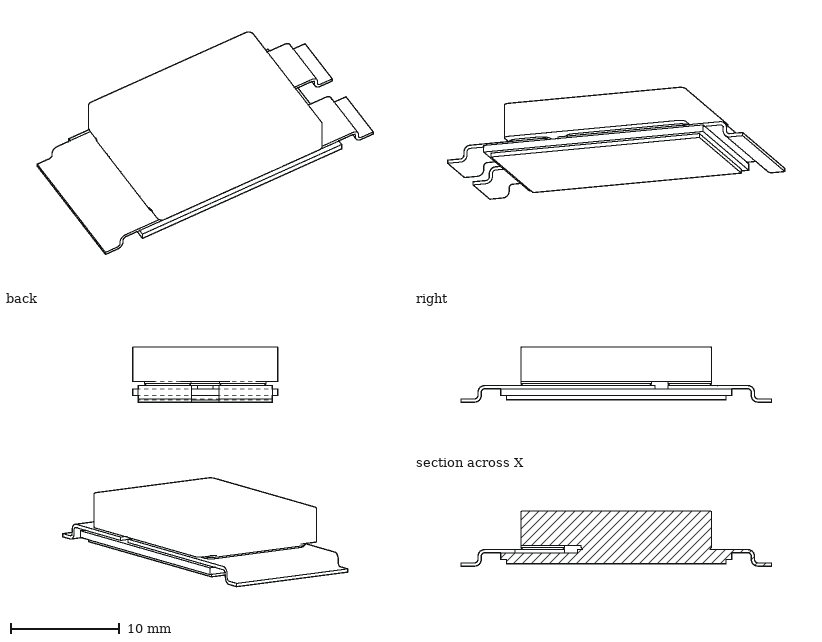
import cadquery as cq

LENGTH = 28.55
LEAD_WIDTH = 12.33
LEAD_THICK = 0.3
LEAD_TOP = 1.55
LEAD_BOTTOM = LEAD_TOP - LEAD_THICK
INNER_BEND = LEAD_THICK
OUTER_BEND = INNER_BEND + LEAD_THICK
FOOT_LENGTH = 1.25
SPLIT_LEAD_END = 4.75
WIDE_LEAD_END = 3.57
LEAD_GAP = 1.45
NOTCH_WIDTH = 2.48
NOTCH_END = 9.3

BODY_WIDTH = 13.33
BODY_LENGTH = 17.53
BODY_TOP = 5.08
BODY_CORNER = 0.55
BODY_TOP_EDGE = 0.1

PAD_THICK = 0.35
PAD_SPAN = 11.2
PAD_CORNER = 0.9
PAD_BEVEL = 0.17
WIDE_PAD_END = 3.25
BODY_BOTTOM = LEAD_TOP + PAD_THICK

SUBSTRATE_LENGTH = 21.25
SUBSTRATE_THICK = 0.63
CONTACT_INSET = 0.55
CONTACT_BOTTOM = 0.23
SUBSTRATE_BOTTOM = LEAD_BOTTOM - SUBSTRATE_THICK


def block(x_range, y_range, z_range):
    """Box between the given limits."""
    sizes = [high - low for low, high in (x_range, y_range, z_range)]
    corner = (x_range[0], y_range[0], z_range[0])
    return cq.Workplane("XY").box(*sizes, centered=False).translate(corner)


def centred_block(width, length, bottom, top):
    """Box centred on the Z axis."""
    return block((-width / 2, width / 2), (-length / 2, length / 2), (bottom, top))


def formed_lead(inner_end):
    """Full-width gull-wing lead that runs from inner_end out to the +Y tip."""
    tip = LENGTH / 2
    bend = tip - FOOT_LENGTH
    riser_outer = bend - INNER_BEND
    riser_inner = riser_outer - LEAD_THICK
    shoulder = riser_outer - OUTER_BEND
    profile = (
        cq.Workplane("YZ", origin=(-LEAD_WIDTH / 2, 0, 0))
        .moveTo(inner_end, LEAD_TOP)
        .lineTo(shoulder, LEAD_TOP)
        .radiusArc((riser_outer, LEAD_TOP - OUTER_BEND), OUTER_BEND)
        .lineTo(riser_outer, LEAD_THICK + INNER_BEND)
        .radiusArc((bend, LEAD_THICK), -INNER_BEND)
        .lineTo(tip, LEAD_THICK)
        .lineTo(tip, 0)
        .lineTo(bend, 0)
        .radiusArc((riser_inner, OUTER_BEND), OUTER_BEND)
        .lineTo(riser_inner, LEAD_BOTTOM - INNER_BEND)
        .radiusArc((shoulder, LEAD_BOTTOM), -INNER_BEND)
        .lineTo(inner_end, LEAD_BOTTOM)
        .close()
    )
    return profile.extrude(LEAD_WIDTH)


def split_leads():
    """The two leads at +Y, separated by a stepped gap."""
    height = (0, LEAD_TOP)
    gap = block((-LEAD_GAP / 2, LEAD_GAP / 2), (SPLIT_LEAD_END, LENGTH / 2), height)
    notch = block((-NOTCH_WIDTH / 2, NOTCH_WIDTH / 2), (NOTCH_END, LENGTH / 2), height)
    return formed_lead(SPLIT_LEAD_END).cut(gap).cut(notch)


def wide_lead():
    """The single lead at -Y."""
    return formed_lead(-WIDE_LEAD_END).rotate((0, 0, 0), (0, 0, 1), 180)


def joining_pad(x_range, y_range):
    """Round-cornered pad on a lead, bevelled inwards at its lower edge."""
    pad = block(x_range, y_range, (LEAD_TOP, BODY_BOTTOM))
    return pad.edges("|Z").fillet(PAD_CORNER).faces("<Z").chamfer(PAD_BEVEL)


def body():
    box = centred_block(BODY_WIDTH, BODY_LENGTH, BODY_BOTTOM, BODY_TOP)
    return box.edges("|Z").fillet(BODY_CORNER).faces(">Z").fillet(BODY_TOP_EDGE)


substrate = centred_block(BODY_WIDTH, SUBSTRATE_LENGTH, SUBSTRATE_BOTTOM, LEAD_BOTTOM)
contact = centred_block(
    BODY_WIDTH - 2 * CONTACT_INSET,
    SUBSTRATE_LENGTH - 2 * CONTACT_INSET,
    CONTACT_BOTTOM,
    SUBSTRATE_BOTTOM,
)

result = substrate.union(contact).union(split_leads()).union(wide_lead()).union(body())

pad_outer = PAD_SPAN / 2
pad_inset = LEAD_WIDTH / 2 - pad_outer
pad_inner = LEAD_GAP / 2 + pad_inset
body_end = BODY_LENGTH / 2

result = result.union(joining_pad((-pad_outer, pad_outer), (-body_end, WIDE_PAD_END)))
for x_range in ((-pad_outer, -pad_inner), (pad_inner, pad_outer)):
    result = result.union(joining_pad(x_range, (SPLIT_LEAD_END, body_end)))